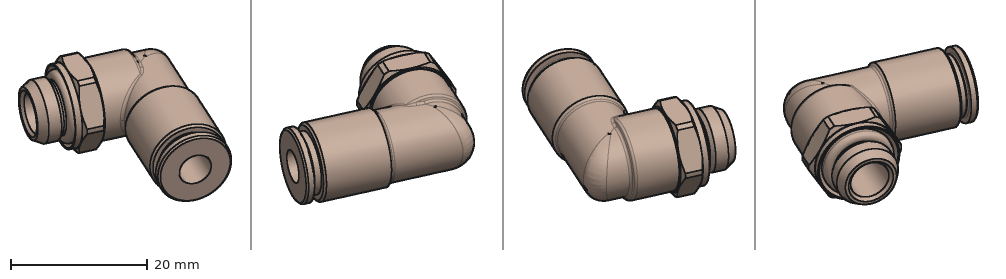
import cadquery as cq
import math


stud_bore_radius = 3.0
socket_bore_radius = 2.5

pipe_radius = 5.5
outer_corner_radius = 2.6
rounded_half_height = 5.47
blend_radius = 0.5
edge_tolerance = 0.03

socket_radius = 6.0
socket_start = 8.48
socket_shoulder_slope = math.radians(45)
socket_end = 19.02
socket_chamfer = 0.35

collar_radius = 4.8
collar_groove_start = 20.05
collar_groove_depth = 0.17
collar_flange_start = 20.47
collar_flange_radius = 5.75
collar_chamfer = 0.3
collar_end = 21.68

sleeve_radius = 6.25
shoulder_root = 1.0
shoulder_slope = math.radians(60)
sleeve_end = 8.3

swivel_neck_radius = 6.2
hex_start = 8.45
hex_end = 11.95
hex_sides = 6
hex_across_flats = 13.0
hex_corner_radius = 7.27
hex_chamfer_slope = math.radians(30)

flange_radius = 6.43
flange_end = 13.0
recess_radius = 6.2
seal_radius = 5.55
seal_round = 0.9
seal_end = 13.72

undercut_radius = 4.23
undercut_end = 13.98
thread_radius = 4.83
thread_end = 16.6
tip_radius = 4.02
stud_end = 18.0
bore_chamfer = 0.5


def revolve_about_x(outline):
    return outline.close().revolve(360, (0, 0, 0), (1, 0, 0))


def revolve_about_y(outline):
    return outline.close().revolve(360, (0, 0, 0), (0, 1, 0))


def make_sleeve():
    """Sleeve around the -Y branch; its cone shoulder runs into the barrel through a round."""
    round_width = blend_radius * (1 - math.cos(shoulder_slope))
    round_length = blend_radius * math.sin(shoulder_slope)
    mid_width = blend_radius * (1 - math.cos(shoulder_slope / 2))
    mid_length = blend_radius * math.sin(shoulder_slope / 2)
    cone_width = sleeve_radius - round_width - pipe_radius
    cone_end = shoulder_root + cone_width / math.tan(shoulder_slope)
    barrel_start = cone_end + round_length
    outline = (
        cq.Workplane("XY")
        .moveTo(0, -sleeve_end)
        .lineTo(sleeve_radius, -sleeve_end)
        .lineTo(sleeve_radius, -barrel_start)
        .threePointArc(
            (sleeve_radius - mid_width, -barrel_start + mid_length),
            (sleeve_radius - round_width, -cone_end),
        )
        .lineTo(pipe_radius, -shoulder_root)
        .lineTo(0, -shoulder_root)
    )
    return revolve_about_y(outline)


def make_bent_pipe():
    """Mitred pipe whose outer mitre is rounded, with the sleeve blended onto its -Y branch."""
    path = cq.Workplane("XY").moveTo(socket_end, 0).lineTo(0, 0).lineTo(0, -sleeve_end)
    pipe = cq.Workplane("YZ", origin=(socket_end, 0, 0)).circle(pipe_radius).sweep(path, transition="right")

    zone_size = 2 * (socket_end + pipe_radius)
    rounded_zone = cq.Workplane("XY").box(zone_size, zone_size, 2 * rounded_half_height)
    outer_mitre = cq.selectors.BoxSelector(
        (-pipe_radius, edge_tolerance, -pipe_radius),
        (-edge_tolerance, pipe_radius, pipe_radius),
    )
    middle = pipe.intersect(rounded_zone)
    middle = middle.edges("%ELLIPSE").edges(outer_mitre).fillet(outer_corner_radius)
    pipe = pipe.cut(rounded_zone).union(middle).clean()

    shoulder_edge = cq.selectors.BoxSelector(
        (-pipe_radius, -shoulder_root - edge_tolerance, -pipe_radius),
        (0, -shoulder_root + edge_tolerance, pipe_radius),
    )
    branch_edges = cq.selectors.BoxSelector(
        (0, -pipe_radius, -pipe_radius),
        (sleeve_radius, -shoulder_root, pipe_radius),
    )
    return pipe.union(make_sleeve()).edges(shoulder_edge + branch_edges).fillet(blend_radius)


def make_socket():
    socket_root = socket_start - (socket_radius - pipe_radius) / math.tan(socket_shoulder_slope)
    blend_setback = blend_radius * math.tan(socket_shoulder_slope / 2)
    cone_setback = blend_setback * math.cos(socket_shoulder_slope)
    cone_rise = blend_setback * math.sin(socket_shoulder_slope)
    outline = (
        cq.Workplane("XY")
        .moveTo(socket_root - blend_setback, 0)
        .lineTo(socket_root - blend_setback, pipe_radius)
        .radiusArc((socket_root + cone_setback, pipe_radius + cone_rise), -blend_radius)
        .lineTo(socket_start, socket_radius)
        .lineTo(socket_end - socket_chamfer, socket_radius)
        .lineTo(socket_end, socket_radius - socket_chamfer)
        .lineTo(socket_end, 0)
    )
    return revolve_about_x(outline)


def make_release_collar():
    groove_radius = collar_radius - collar_groove_depth
    groove_floor = collar_groove_start + collar_groove_depth
    flange_fillet = collar_flange_start - groove_floor
    outline = (
        cq.Workplane("XY")
        .moveTo(socket_end, 0)
        .lineTo(socket_end, collar_radius)
        .lineTo(collar_groove_start, collar_radius)
        .lineTo(groove_floor, groove_radius)
        .radiusArc((collar_flange_start, groove_radius + flange_fillet), -flange_fillet)
        .lineTo(collar_flange_start, collar_flange_radius)
        .lineTo(collar_end - collar_chamfer, collar_flange_radius)
        .lineTo(collar_end, collar_flange_radius - collar_chamfer)
        .lineTo(collar_end, 0)
    )
    return revolve_about_x(outline)


def make_elbow():
    elbow = make_bent_pipe().union(make_socket()).union(make_release_collar())
    stud_side_bore = cq.Workplane("XZ").circle(stud_bore_radius).extrude(sleeve_end)
    bore_length = stud_bore_radius + collar_end
    socket_bore = cq.Workplane("YZ", origin=(-stud_bore_radius, 0, 0)).circle(socket_bore_radius)
    socket_bore = socket_bore.extrude(bore_length)
    return elbow.cut(stud_side_bore).cut(socket_bore)


def make_hex():
    """Hexagon with flats facing +Z and -Z, turned corners and a cone chamfer at both ends."""
    face_radius = hex_across_flats / 2
    chamfer_length = (hex_corner_radius - face_radius) * math.tan(hex_chamfer_slope)
    across_corners = hex_across_flats / math.cos(math.pi / hex_sides)
    prism = cq.Workplane("XZ", origin=(0, -hex_start, 0)).polygon(hex_sides, across_corners)
    prism = prism.extrude(hex_end - hex_start)
    outline = (
        cq.Workplane("XY")
        .moveTo(0, -hex_start)
        .lineTo(face_radius, -hex_start)
        .lineTo(hex_corner_radius, -hex_start - chamfer_length)
        .lineTo(hex_corner_radius, -hex_end + chamfer_length)
        .lineTo(face_radius, -hex_end)
        .lineTo(0, -hex_end)
    )
    return prism.intersect(revolve_about_y(outline))


def make_seal_flange():
    """Flange with a conical recess around the rounded seal bead."""
    recess_depth = recess_radius - seal_radius
    seal_center = seal_end - seal_round
    seal_foot_offset = undercut_radius - (seal_radius - seal_round)
    seal_foot = seal_center + math.sqrt(seal_round**2 - seal_foot_offset**2)
    outline = (
        cq.Workplane("XY")
        .moveTo(0, -hex_end)
        .lineTo(flange_radius, -hex_end)
        .lineTo(flange_radius, -flange_end)
        .lineTo(recess_radius, -flange_end)
        .lineTo(seal_radius, -flange_end + recess_depth)
        .lineTo(seal_radius, -seal_center)
        .radiusArc((undercut_radius, -seal_foot), seal_round)
        .lineTo(0, -seal_foot)
    )
    return revolve_about_y(outline)


def make_threaded_end():
    undercut_rise = thread_radius - undercut_radius
    outline = (
        cq.Workplane("XY")
        .moveTo(0, -flange_end)
        .lineTo(undercut_radius, -flange_end)
        .lineTo(undercut_radius, -undercut_end)
        .lineTo(thread_radius, -undercut_end - undercut_rise)
        .lineTo(thread_radius, -thread_end)
        .lineTo(tip_radius, -stud_end)
        .lineTo(0, -stud_end)
    )
    return revolve_about_y(outline)


def make_stud_bore():
    outline = (
        cq.Workplane("XY")
        .moveTo(0, -sleeve_end)
        .lineTo(stud_bore_radius, -sleeve_end)
        .lineTo(stud_bore_radius, -stud_end + bore_chamfer)
        .lineTo(stud_bore_radius + bore_chamfer, -stud_end)
        .lineTo(0, -stud_end)
    )
    return revolve_about_y(outline)


def make_stud():
    neck_length = hex_start - sleeve_end
    neck = cq.Workplane("XZ", origin=(0, -sleeve_end, 0)).circle(swivel_neck_radius).extrude(neck_length)
    stud = neck.union(make_hex()).union(make_seal_flange()).union(make_threaded_end())
    return stud.cut(make_stud_bore())


elbow = make_elbow()
stud = make_stud()

result = cq.Compound.makeCompound([elbow.val(), stud.val()])